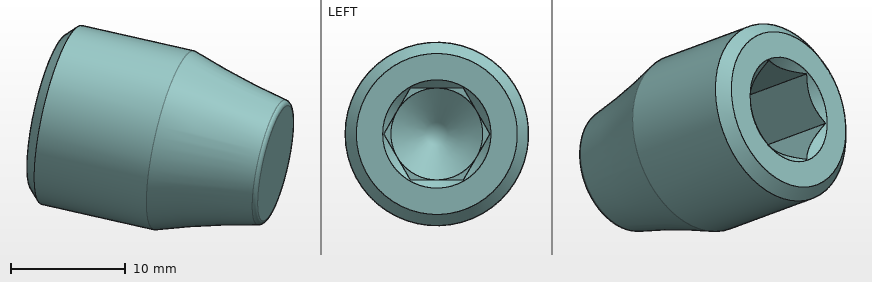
import cadquery as cq
import math

length = 20.5
body_diameter = 16.0
body_radius = body_diameter / 2
rear_chamfer = 0.98
shoulder_x = 11.23

nose_tip_radius = 5.51
flank_sag = 0.16
tip_fillet = 0.45

across_flats = 8.0
across_corners = across_flats / math.cos(math.pi / 6)
socket_depth = 8.0
drill_point_angle = 120.0
mouth_diameter = 9.43
mouth_angle = 90.0


def flank_middle(start, end):
    """Point on the hollow flank, beside the middle of its chord."""
    dx = end[0] - start[0]
    dy = end[1] - start[1]
    chord = math.hypot(dx, dy)
    return (
        (start[0] + end[0]) / 2 + dy / chord * flank_sag,
        (start[1] + end[1]) / 2 - dx / chord * flank_sag,
    )


def make_body():
    shoulder = (shoulder_x, body_radius)
    tip_edge = (length, nose_tip_radius)
    body = (
        cq.Workplane("XY")
        .moveTo(0, 0)
        .lineTo(0, body_radius - rear_chamfer)
        .lineTo(rear_chamfer, body_radius)
        .lineTo(*shoulder)
        .threePointArc(flank_middle(shoulder, tip_edge), tip_edge)
        .lineTo(length, 0)
        .close()
        .revolve(360, (0, 0, 0), (1, 0, 0))
    )
    return body.faces(">X").edges().fillet(tip_fillet)


def make_cone(base_x, base_radius, included_angle):
    """Cone on the X axis, pointing toward +X."""
    height = base_radius / math.tan(math.radians(included_angle / 2))
    return (
        cq.Workplane("XY")
        .moveTo(base_x, 0)
        .lineTo(base_x, base_radius)
        .lineTo(base_x + height, 0)
        .close()
        .revolve(360, (0, 0, 0), (1, 0, 0))
    )


def make_socket():
    hexagon = cq.Workplane("YZ").polygon(6, across_corners).extrude(socket_depth)
    drill_point = make_cone(socket_depth, across_flats / 2, drill_point_angle)
    mouth = make_cone(0, mouth_diameter / 2, mouth_angle)
    return hexagon.union(drill_point).union(mouth)


result = make_body().cut(make_socket())